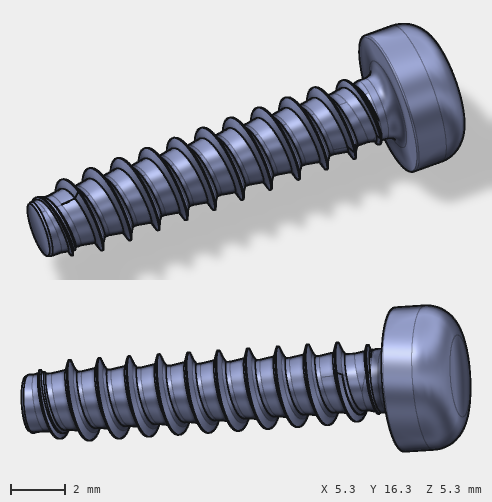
import cadquery as cq
import math


head_radius = 5.3 / 2
head_height = 2.3
head_crown_radius = 1.15
head_rim_radius = 0.06

shank_length = 14.0
neck_radius = 2.35 / 2
neck_fillet = 0.5
neck_end = -0.775
neck_taper_length = 0.4
core_radius = 1.06
tip_radius = 1.01
tip_taper_length = 0.1
tip_cone_height = 0.03
tip_rim = tip_cone_height - shank_length

pitch = 1.122
crest_radius = 1.5
crest_half_width = 0.022
shoulder_radius = 1.205
shoulder_top = 0.16
lower_shoulder_bottom = 0.16
wedge_toe_radius = 1.045
wedge_top = 0.28
wedge_bottom = -0.78
wedge_slope = (shoulder_radius - wedge_toe_radius) / (shoulder_top - wedge_bottom)
lower_shoulder_radius = wedge_toe_radius + wedge_slope * (-lower_shoulder_bottom - wedge_bottom)
wedge_root_radius = 0.85
ridge_root_radius = 0.88
ridge_root_top = 0.28
ridge_root_bottom = 0.26

full_thread_start = -1.976
full_thread_turns = 9.25
full_thread_end = full_thread_start - full_thread_turns * pitch

lead_in_turns = 1.0
lead_in_sink = 0.19
start_turns = 0.25
start_pitch = 0.4
start_sink = 0.05
wedge_lead_in_turns = 1.25
wedge_lead_in_sink = 0.05
ridge_run_out_turns = 1.25
ridge_run_out_sink = 0.38
wedge_run_out_turns = 1.5
wedge_run_out_sink = 0.12


def make_body():
    """Head, neck and plain core as one revolved outline."""
    diagonal = math.sqrt(0.5)
    crown_base = head_height - head_crown_radius
    crown_inner = head_radius - head_crown_radius
    rim_inner = head_radius - head_rim_radius
    fillet_outer = neck_radius + neck_fillet
    crown_mid = (
        crown_inner + head_crown_radius * diagonal,
        crown_base + head_crown_radius * diagonal,
    )
    rim_mid = (
        rim_inner + head_rim_radius * diagonal,
        head_rim_radius * (1 - diagonal),
    )
    fillet_mid = (
        fillet_outer - neck_fillet * diagonal,
        -neck_fillet * (1 - diagonal),
    )
    outline = (
        cq.Workplane("XZ")
        .moveTo(0, head_height)
        .lineTo(crown_inner, head_height)
        .threePointArc(crown_mid, (head_radius, crown_base))
        .lineTo(head_radius, head_rim_radius)
        .threePointArc(rim_mid, (rim_inner, 0))
        .lineTo(fillet_outer, 0)
        .threePointArc(fillet_mid, (neck_radius, -neck_fillet))
        .lineTo(neck_radius, neck_end)
        .lineTo(core_radius, neck_end - neck_taper_length)
        .lineTo(core_radius, tip_rim + tip_taper_length)
        .lineTo(tip_radius, tip_rim)
        .lineTo(0, -shank_length)
        .close()
    )
    return outline.revolve(360, (0, 0), (0, 1)).rotate((0, 0, 0), (0, 0, 1), -90)


def sweep_turns(profile, bottom, bottom_turn, turns, turn_pitch, bottom_sink=0.0, top_sink=0.0):
    """Sweep a (radius, height) profile up a helix whose radius may grow or shrink.

    bottom_turn is the start angle in turns from +X; the sinks lower the profile toward the axis.
    """
    height = turns * turn_pitch
    cone_angle = math.atan2(bottom_sink - top_sink, height)
    slant = 1 / math.cos(cone_angle)
    start_radius = crest_radius - bottom_sink
    if bottom_sink == top_sink:
        path = cq.Wire.makeHelix(turn_pitch, height, start_radius)
    else:
        path = cq.Wire.makeHelix(
            turn_pitch * slant, height * slant, start_radius, angle=math.degrees(cone_angle)
        )
    placed = [(radius - bottom_sink, z) for radius, z in profile]
    ridge = cq.Workplane("XZ").polyline(placed).close().sweep(cq.Workplane(path), isFrenet=True)
    return ridge.rotate((0, 0, 0), (0, 0, 1), 360 * bottom_turn).translate((0, 0, bottom))


def make_thread():
    """Thread ridge on its core wedge: flat start, lead-in, full thread and run-out."""
    ridge = [
        (ridge_root_radius, ridge_root_top),
        (crest_radius, crest_half_width),
        (crest_radius, -crest_half_width),
        (ridge_root_radius, -ridge_root_bottom),
    ]
    wedge = [
        (wedge_root_radius, wedge_top),
        (wedge_toe_radius, wedge_top),
        (shoulder_radius, shoulder_top),
        (wedge_toe_radius, wedge_bottom),
        (wedge_root_radius, wedge_bottom),
    ]
    full_profile = [
        (wedge_root_radius, wedge_top),
        (wedge_toe_radius, wedge_top),
        (shoulder_radius, shoulder_top),
        (crest_radius, crest_half_width),
        (crest_radius, -crest_half_width),
        (lower_shoulder_radius, -lower_shoulder_bottom),
        (wedge_toe_radius, wedge_bottom),
        (wedge_root_radius, wedge_bottom),
    ]
    lead_in_top = full_thread_start + lead_in_turns * pitch
    bottom_turn = -full_thread_turns
    ridge_end = full_thread_end - ridge_run_out_turns * pitch
    wedge_end = full_thread_end - wedge_run_out_turns * pitch
    start_final_sink = lead_in_sink + start_sink
    wedge_run_out = sweep_turns(
        wedge, wedge_end, bottom_turn - wedge_run_out_turns,
        wedge_run_out_turns, pitch, wedge_run_out_sink, 0,
    )
    ridge_run_out = sweep_turns(
        ridge, ridge_end, bottom_turn - ridge_run_out_turns,
        ridge_run_out_turns, pitch, ridge_run_out_sink, 0,
    )
    return [
        sweep_turns(full_profile, full_thread_end, bottom_turn, full_thread_turns, pitch),
        sweep_turns(wedge, full_thread_start, 0, wedge_lead_in_turns, pitch, 0, wedge_lead_in_sink),
        sweep_turns(ridge, full_thread_start, 0, lead_in_turns, pitch, 0, lead_in_sink),
        sweep_turns(ridge, lead_in_top, 0, start_turns, start_pitch, lead_in_sink, start_final_sink),
        trim_at_tip(wedge_run_out),
        trim_at_tip(ridge_run_out),
    ]


def trim_at_tip(piece):
    """Remove whatever of a thread piece would reach the tapered tip."""
    trim_top = tip_rim + tip_taper_length
    below_tip = cq.Workplane("XY", origin=(0, 0, trim_top)).circle(head_radius).extrude(-2 * pitch)
    return piece.cut(below_tip)


def make_screw():
    """Join body and thread, then lay the screw down along Y."""
    screw = make_body()
    for piece in make_thread():
        screw = screw.union(piece)
    return screw.rotate((0, 0, 0), (1, 0, 0), -90)


result = make_screw()